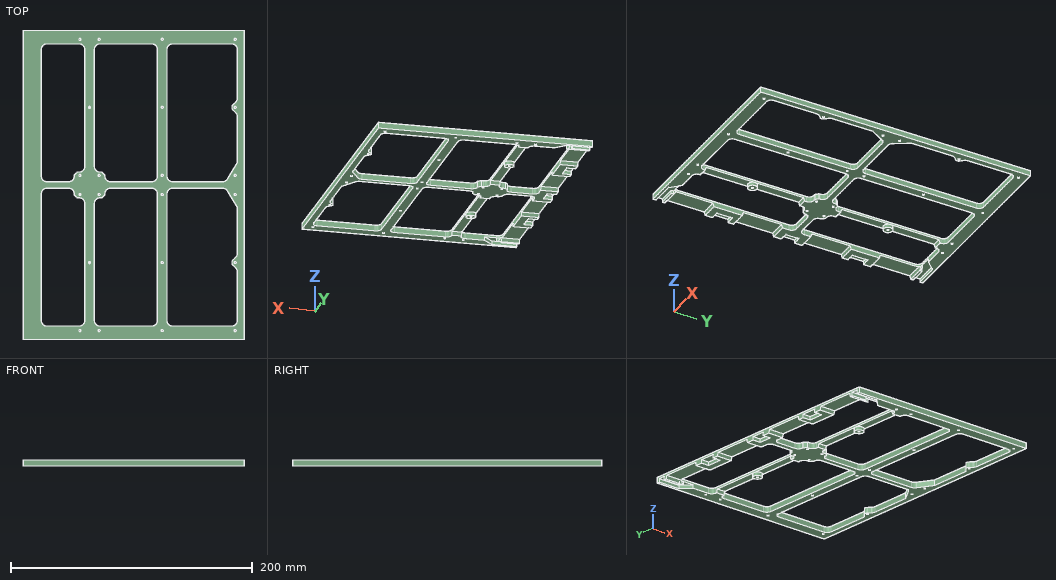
import cadquery as cq
import math

LENGTH_X = 182.8
LENGTH_Y = 255.5
THICKNESS = 5.0
SKIN = 2.0
CUT_HEIGHT = THICKNESS - SKIN

LEFT_X = -LENGTH_X / 2
LEFT_RIM = 15.0
RIGHT_RIM = 6.0
END_RIM = 11.2
BAR_WIDTH = 8.2
CROSS_BAR_WIDTH = 5.5
HUB_BAR_X = -36.5
PLAIN_BAR_X = 23.5

WINDOW_LEFT = LEFT_X + LEFT_RIM
WINDOW_RIGHT = LENGTH_X / 2 - RIGHT_RIM
WINDOW_TOP = LENGTH_Y / 2 - END_RIM
WINDOW_BOTTOM = CROSS_BAR_WIDTH / 2
CORNER_RADIUS = 4.3

HOLE_DIAMETER = 1.5
HOLE_PITCH_Y = 56.2
FIRST_HOLE_Y = 8.0
MIDDLE_HOLE_Y = FIRST_HOLE_Y + HOLE_PITCH_Y
LAST_HOLE_Y = MIDDLE_HOLE_Y + HOLE_PITCH_Y
HUB_HOLE_OFFSET = 8.0
RIM_HOLE_X = 83.8

HUB_HALF_X = 12.8
HUB_HALF_Y = 10.7
HUB_CHAMFER = 2.5

NUB_RADIUS = 2.8
NUB_REACH = NUB_RADIUS * math.sqrt(2)
GUSSET_X = 9.5
GUSSET_Y = 15.5

GAP_FLARE = 1.0
RIM_GAP_LENGTH = 36.0
RIM_GAP_CENTRES_Y = (32.5, 97.5)
RIM_GAP_DEPTH = LEFT_RIM + CORNER_RADIUS
BAR_GAP_LENGTH = 92.0
BAR_BOSS_RADIUS = BAR_WIDTH / 2
BLIND_SLOT_DEPTH = 7.7
MIDDLE_SLOT_LENGTH = 14.5
CENTRE_SLOT_LENGTH = 12.5
CORNER_RELIEF_OUTER_Y = 125.0
CORNER_RELIEF_INNER_Y = 118.9
CORNER_RELIEF_END_X = -61.5


def rounded_outline(corners):
    """Closed outline through (x, y, radius) corners, each rounded by a tangent arc if radius > 0."""
    stretches = []
    count = len(corners)
    for i, (x, y, radius) in enumerate(corners):
        here = cq.Vector(x, y)
        to_last = (cq.Vector(*corners[i - 1][:2]) - here).normalized()
        to_next = (cq.Vector(*corners[(i + 1) % count][:2]) - here).normalized()
        half_angle = to_last.getAngle(to_next) / 2
        setback = radius / math.tan(half_angle)
        bulge = radius / math.sin(half_angle) - radius
        bisector = (to_last + to_next).normalized()
        stretches.append((here + to_last * setback, here + bisector * bulge, here + to_next * setback, radius))

    outline = cq.Workplane("XY").moveTo(*stretches[-1][2].toTuple()[:2])
    for start, middle, end, radius in stretches:
        outline = outline.lineTo(start.x, start.y)
        if radius > 0:
            outline = outline.threePointArc((middle.x, middle.y), (end.x, end.y))
    return outline.close()


def hub_steps(side):
    """Window corners around the hub, from the cross bar up to the bar; side is -1 left, +1 right."""
    flank_x = HUB_BAR_X + side * HUB_HALF_X
    return [
        (flank_x, WINDOW_BOTTOM, CORNER_RADIUS),
        (flank_x, HUB_HALF_Y - HUB_CHAMFER, 0),
        (flank_x - side * HUB_CHAMFER, HUB_HALF_Y, 0),
        (HUB_BAR_X + side * BAR_WIDTH / 2, HUB_HALF_Y, CORNER_RADIUS),
    ]


def left_window():
    right = HUB_BAR_X - BAR_WIDTH / 2
    return rounded_outline([
        (WINDOW_LEFT, WINDOW_TOP, CORNER_RADIUS),
        (WINDOW_LEFT, WINDOW_BOTTOM, CORNER_RADIUS),
        *hub_steps(-1),
        (right, WINDOW_TOP, CORNER_RADIUS),
    ])


def middle_window():
    left = HUB_BAR_X + BAR_WIDTH / 2
    right = PLAIN_BAR_X - BAR_WIDTH / 2
    return rounded_outline([
        (right, WINDOW_TOP, CORNER_RADIUS),
        (right, WINDOW_BOTTOM, CORNER_RADIUS),
        *hub_steps(1),
        (left, WINDOW_TOP, CORNER_RADIUS),
    ])


def right_window():
    left = PLAIN_BAR_X + BAR_WIDTH / 2
    nub_tip = RIM_HOLE_X - NUB_REACH
    nub_half_base = WINDOW_RIGHT - nub_tip
    return rounded_outline([
        (left, WINDOW_TOP, CORNER_RADIUS),
        (left, WINDOW_BOTTOM, CORNER_RADIUS),
        (WINDOW_RIGHT - GUSSET_X, WINDOW_BOTTOM, CORNER_RADIUS),
        (WINDOW_RIGHT, WINDOW_BOTTOM + GUSSET_Y, 0),
        (WINDOW_RIGHT, MIDDLE_HOLE_Y - nub_half_base, CORNER_RADIUS),
        (nub_tip, MIDDLE_HOLE_Y, NUB_RADIUS),
        (WINDOW_RIGHT, MIDDLE_HOLE_Y + nub_half_base, CORNER_RADIUS),
        (WINDOW_RIGHT, WINDOW_TOP, CORNER_RADIUS),
    ])


def underside_cut(start_x, depth, centre_y, length, flare=0):
    """Cut running +X from start_x, open at the bottom, its two ends flaring towards the bottom."""
    half = length / 2
    return (
        cq.Workplane("YZ", origin=(start_x, centre_y, 0))
        .polyline([(-half - flare, 0), (half + flare, 0), (half, CUT_HEIGHT), (-half, CUT_HEIGHT)])
        .close()
        .extrude(depth)
    )


def bar_gap():
    """Gap under the hub bar that leaves a round boss at the middle screw hole."""
    gap = underside_cut(HUB_BAR_X - BAR_WIDTH / 2, BAR_WIDTH, MIDDLE_HOLE_Y, BAR_GAP_LENGTH, GAP_FLARE)
    boss = cq.Workplane("XY").center(HUB_BAR_X, MIDDLE_HOLE_Y).circle(BAR_BOSS_RADIUS).extrude(CUT_HEIGHT)
    return gap.cut(boss)


def corner_relief():
    """Cut from the left edge, behind the corner leg, that opens into the left window."""
    end_wall_run = CORNER_RELIEF_OUTER_Y - WINDOW_TOP
    return (
        cq.Workplane("XY")
        .polyline([
            (LEFT_X, CORNER_RELIEF_INNER_Y),
            (LEFT_X, CORNER_RELIEF_OUTER_Y),
            (CORNER_RELIEF_END_X - end_wall_run, CORNER_RELIEF_OUTER_Y),
            (CORNER_RELIEF_END_X, WINDOW_TOP),
            (WINDOW_LEFT, WINDOW_TOP),
            (WINDOW_LEFT, CORNER_RELIEF_INNER_Y),
        ])
        .close()
        .extrude(CUT_HEIGHT)
    )


def half_underside_cuts():
    """Underside cuts of the +Y half."""
    rim_gaps = [
        underside_cut(LEFT_X, RIM_GAP_DEPTH, centre_y, RIM_GAP_LENGTH, GAP_FLARE)
        for centre_y in RIM_GAP_CENTRES_Y
    ]
    middle_slot = underside_cut(LEFT_X, BLIND_SLOT_DEPTH, MIDDLE_HOLE_Y, MIDDLE_SLOT_LENGTH)
    return [*rim_gaps, middle_slot, bar_gap(), corner_relief()]


def screw_positions():
    hub_columns = (HUB_BAR_X - HUB_HOLE_OFFSET, HUB_BAR_X + HUB_HOLE_OFFSET)
    rows = [
        (FIRST_HOLE_Y, (*hub_columns, PLAIN_BAR_X, RIM_HOLE_X)),
        (MIDDLE_HOLE_Y, (HUB_BAR_X, PLAIN_BAR_X, RIM_HOLE_X)),
        (LAST_HOLE_Y, (*hub_columns, PLAIN_BAR_X, RIM_HOLE_X)),
    ]
    return [(x, side * y) for y, columns in rows for x in columns for side in (-1, 1)]


frame = cq.Workplane("XY").box(LENGTH_X, LENGTH_Y, THICKNESS, centered=(True, True, False))
for outline in (left_window(), middle_window(), right_window()):
    window = outline.extrude(THICKNESS)
    frame = frame.cut(window).cut(window.mirror("XZ"))

for cutter in half_underside_cuts():
    frame = frame.cut(cutter).cut(cutter.mirror("XZ"))

frame = frame.cut(underside_cut(LEFT_X, BLIND_SLOT_DEPTH, 0, CENTRE_SLOT_LENGTH))

screw_holes = cq.Workplane("XY").pushPoints(screw_positions()).circle(HOLE_DIAMETER / 2).extrude(THICKNESS)
result = frame.cut(screw_holes)